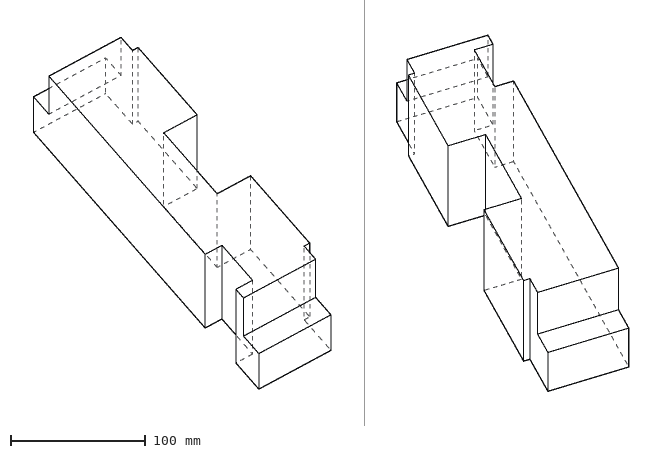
import cadquery as cq

length = 295.0
depth = 70.0
height = 88.0

step_length = 20.0
step_height = 42.5

pad_thickness = 5.0
pad_end_inset = 35.0
notch_width = 70.0
notch_depth = 30.0

slot_width = 40.0
slot_depth = 15.0
slot_end_distance = 30.0

body_depth = depth - pad_thickness
slot_start = length - slot_end_distance - slot_width


def block(x, y, z, x_size, y_size, z_size):
    """Box with its lowest corner at (x, y, z)."""
    return cq.Workplane("XY").box(x_size, y_size, z_size, centered=False).translate((x, y, z))


body = block(0, 0, 0, length, body_depth, height)
pads = block(pad_end_inset, body_depth, 0, length - 2 * pad_end_inset, pad_thickness, height)
result = body.union(pads)

for step_start in (0, length - step_length):
    result = result.cut(block(step_start, 0, step_height, step_length, depth, height - step_height))

notch_start = (length - notch_width) / 2
result = result.cut(block(notch_start, depth - notch_depth, 0, notch_width, notch_depth, height))

result = result.cut(block(slot_start, 0, 0, slot_width, slot_depth, height))